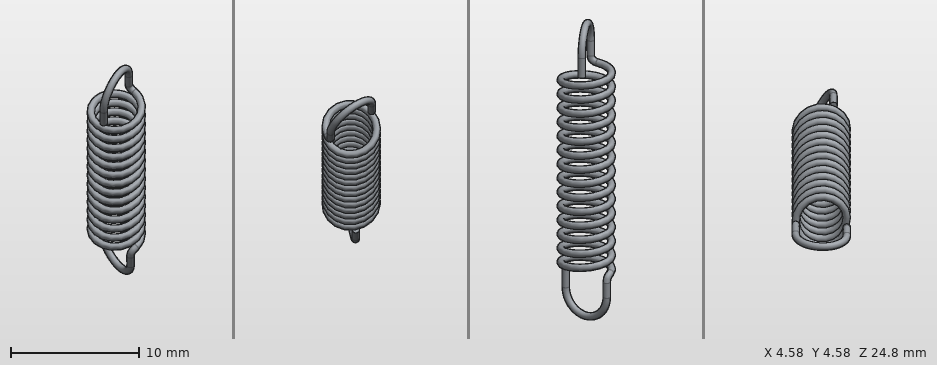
import cadquery as cq
import math

overall_length = 24.75
outer_diameter = 4.58
wire_diameter = 0.6
pitch = 1.16
turns = 14.235
bend_size = 0.57
bend_angle = 16.0
free_leg_length = 1.63

wire_radius = wire_diameter / 2
coil_radius = (outer_diameter - wire_diameter) / 2
coil_height = pitch * turns
coil_end_angle = 360 * turns
leg_length = (overall_length - coil_height) / 2 - bend_size - coil_radius - wire_radius


def on_coil(angle, z):
    """Point on the coil's mean cylinder at an angle in degrees around Z."""
    a = math.radians(angle)
    return cq.Vector(coil_radius * math.cos(a), coil_radius * math.sin(a), z)


def coil_tangent(angle):
    """Direction of travel up the coil at an angle in degrees around Z."""
    a = math.radians(angle)
    rise = pitch / (2 * math.pi)
    return cq.Vector(-coil_radius * math.sin(a), coil_radius * math.cos(a), rise).normalized()


def sweep_wire(path, start, direction):
    """Round spring wire along a path starting at a point in a direction."""
    section = cq.Workplane(cq.Plane(origin=start, normal=direction)).circle(wire_radius)
    return section.sweep(cq.Workplane(obj=path), isFrenet=True)


def make_coil():
    helix = cq.Wire.makeHelix(pitch, coil_height, coil_radius)
    return sweep_wire(helix, on_coil(0, 0), coil_tangent(0))


def make_hook(coil_angle, coil_z, side):
    """Bend, leg, half circle and free leg; side is +1 for the top hook and -1 for the bottom."""
    axial = cq.Vector(0, 0, side)
    leg_angle = coil_angle + side * bend_angle
    bend_z = coil_z + side * bend_size
    arc_z = bend_z + side * leg_length

    coil_end = on_coil(coil_angle, coil_z)
    leg_start = on_coil(leg_angle, bend_z)
    bend_middle = on_coil(
        coil_angle + side * bend_angle * math.sin(math.pi / 4),
        coil_z + side * bend_size * (1 - math.cos(math.pi / 4)),
    )
    coil_exit = coil_tangent(coil_angle) * side
    bend = cq.Edge.makeSpline([coil_end, bend_middle, leg_start], tangents=[coil_exit, axial])

    arc_start = on_coil(leg_angle, arc_z)
    arc_end = on_coil(leg_angle + 180, arc_z)
    crown = cq.Vector(0, 0, arc_z + side * coil_radius)
    leg = cq.Edge.makeLine(leg_start, arc_start)
    half_circle = cq.Edge.makeThreePointArc(arc_start, crown, arc_end)
    free_leg = cq.Edge.makeLine(arc_end, arc_end - axial * free_leg_length)

    bend_solid = sweep_wire(cq.Wire.assembleEdges([bend]), coil_end, coil_exit)
    hook_path = cq.Wire.assembleEdges([leg, half_circle, free_leg])
    return bend_solid.union(sweep_wire(hook_path, leg_start, axial))


bottom_hook = make_hook(0, 0, -1)
top_hook = make_hook(coil_end_angle, coil_height, 1)
result = make_coil().union(bottom_hook).union(top_hook)